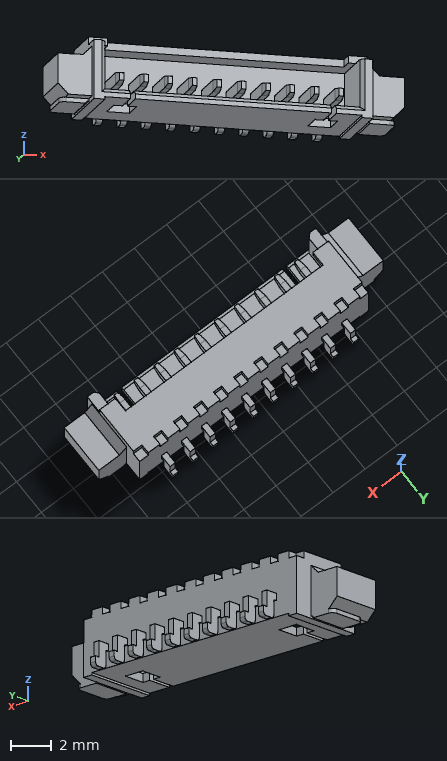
import cadquery as cq

pin_count = 10
pin_pitch = 1.25

overall_length = 17.75
housing_length = 14.27
housing_depth = 4.25
housing_height = 3.4
side_wall = 0.6
back_wall = 1.2
roof_thickness = 0.39
floor_top = 0.59
floor_gap = 0.12
standing_rail_width = 0.55
mouth_bevel = 0.21
roof_setback = 1.83
roof_tab_setback = 1.01
roof_tab_width = 0.98

notch_width = 0.5
notch_depth = 0.51
corner_notch_width = 0.53

slot_offset = 5.15
slot_width = 0.25
window_width = 1.15
window_front = 1.45
window_depth = 1.28

ear_front = 0.39
ear_depth = 2.8
ear_top = 2.3
ear_ramp = 0.46
ear_bevel = 0.53
ear_bottom = 0.23

tab_inset = 0.28
tab_depth = 2.2
tab_corner_radius = 0.3
tab_heel_radius = 0.12

pin_width = 0.34
pin_height = 0.6
pin_bottom = 1.03
pin_tip_y = 0.37
pin_taper_length = 0.53
pin_tip_width = 0.23
pin_tip_height = 0.39
tail_reach = 0.95
tail_top = 1.35
tail_shank_front = 0.2
tail_shank_back = 0.71
tail_bend_underside = 1.0
tail_foot_top = 0.5
tail_foot_radius = 0.2
tail_bend_radius = 0.1

half_length = housing_length / 2
half_cavity = half_length - side_wall
wall_top = housing_height - roof_thickness
cavity_depth = housing_depth - back_wall
pin_positions = [(i - (pin_count - 1) / 2) * pin_pitch for i in range(pin_count)]


def block(x_range, y_range, z_range):
    """Axis-aligned box given by its limits along each axis."""
    (x0, x1), (y0, y1), (z0, z1) = x_range, y_range, z_range
    return cq.Workplane("XY").box(x1 - x0, y1 - y0, z1 - z0, centered=False).translate((x0, y0, z0))


def centered_block(x_center, width, y_range, z_range):
    """Box of a given width centred on x_center."""
    return block((x_center - width / 2, x_center + width / 2), y_range, z_range)


def make_shell():
    """Housing with its cavity, stepped roof, bevelled mouth and raised underside."""
    shell = centered_block(0, housing_length, (0, housing_depth), (0, housing_height))

    shell = shell.cut(centered_block(0, 2 * half_cavity, (0, cavity_depth), (floor_top, wall_top)))

    roof_opening = housing_length - 2 * roof_tab_width
    roof_levels = (wall_top, housing_height)
    shell = shell.cut(centered_block(0, roof_opening, (0, roof_setback), roof_levels))
    shell = shell.cut(centered_block(0, housing_length, (0, roof_tab_setback), roof_levels))

    mouth = (
        cq.Workplane("XZ")
        .rect(2 * (half_cavity + mouth_bevel), 2 * (wall_top - floor_top + mouth_bevel))
        .workplane(offset=-mouth_bevel)
        .rect(2 * half_cavity, 2 * (wall_top - floor_top))
        .loft(ruled=True)
        .translate((0, 0, wall_top))
    )
    below_roof = centered_block(0, housing_length, (0, mouth_bevel), (0, wall_top))
    shell = shell.cut(mouth.intersect(below_roof))

    underside_width = housing_length - 2 * standing_rail_width
    return shell.cut(centered_block(0, underside_width, (0, housing_depth), (0, floor_gap)))


def cut_rear_notches(housing):
    """One notch behind every pin and one at each rear corner."""
    y_range = (housing_depth - notch_depth, housing_depth)
    z_range = (wall_top, housing_height)
    for x in pin_positions:
        housing = housing.cut(centered_block(x, notch_width, y_range, z_range))
    for side in (-1, 1):
        corner_center = side * (half_length - corner_notch_width / 2)
        housing = housing.cut(centered_block(corner_center, corner_notch_width, y_range, z_range))
    return housing


def cut_floor_openings(housing):
    """T-shaped openings: a narrow slot from the mouth into a wide window."""
    window_range = (window_front, window_front + window_depth)
    for side in (-1, 1):
        center = side * slot_offset
        housing = housing.cut(centered_block(center, slot_width, (0, window_front), (0, floor_top)))
        housing = housing.cut(centered_block(center, window_width, window_range, (0, floor_top)))
    return housing


def make_left_ear():
    """Ear with a ramp up to the housing and a bevelled lower outer edge."""
    outer = -overall_length / 2
    inner = -half_length
    outline = [
        (inner, ear_bottom),
        (outer + ear_bevel, ear_bottom),
        (outer, ear_bottom + ear_bevel),
        (outer, ear_top),
        (inner - ear_ramp, ear_top),
        (inner, ear_top + ear_ramp),
    ]
    return cq.Workplane("XZ").polyline(outline).close().extrude(-ear_depth).translate((0, ear_front, 0))


def make_left_solder_tab():
    """Flat tab with rounded outer corners and a rounded heel beside the housing."""
    outer = -overall_length / 2 + tab_inset
    heel = -half_length
    tab_back = ear_front + ear_depth
    profile = (
        cq.Workplane("XZ")
        .moveTo(outer, 0)
        .lineTo(heel - tab_heel_radius, 0)
        .radiusArc((heel, tab_heel_radius), tab_heel_radius)
        .lineTo(heel, ear_bottom)
        .lineTo(outer, ear_bottom)
        .close()
    )
    tab = profile.extrude(-tab_depth).translate((0, tab_back - tab_depth, 0))
    return tab.edges("|Z and <X").fillet(tab_corner_radius)


def make_pin():
    """Contact blade with a tapered tip, bent down behind the housing into a tail."""
    blade_start = pin_tip_y + pin_taper_length
    blade_center = pin_bottom + pin_height / 2
    blade = centered_block(
        0, pin_width, (blade_start, cavity_depth + back_wall / 2), (pin_bottom, pin_bottom + pin_height)
    )
    tip = (
        cq.Workplane("XZ")
        .rect(pin_tip_width, pin_tip_height)
        .workplane(offset=-pin_taper_length)
        .rect(pin_width, pin_height)
        .loft(ruled=True)
        .translate((0, pin_tip_y, blade_center))
    )

    root_y = housing_depth - back_wall / 2
    shank_front = housing_depth + tail_shank_front
    shank_back = housing_depth + tail_shank_back
    foot_end = housing_depth + tail_reach
    tail = (
        cq.Workplane("YZ")
        .moveTo(root_y, tail_top)
        .lineTo(shank_back, tail_top)
        .lineTo(shank_back, tail_foot_top)
        .lineTo(foot_end, tail_foot_top)
        .lineTo(foot_end, tail_foot_radius)
        .radiusArc((foot_end - tail_foot_radius, 0), tail_foot_radius)
        .lineTo(shank_front + tail_foot_radius, 0)
        .radiusArc((shank_front, tail_foot_radius), tail_foot_radius)
        .lineTo(shank_front, tail_bend_underside - tail_bend_radius)
        .radiusArc((shank_front - tail_bend_radius, tail_bend_underside), -tail_bend_radius)
        .lineTo(root_y, tail_bend_underside)
        .close()
        .extrude(pin_width / 2, both=True)
    )
    return blade.union(tip).union(tail)


result = cut_floor_openings(cut_rear_notches(make_shell()))

left_end = make_left_ear().union(make_left_solder_tab())
result = result.union(left_end).union(left_end.mirror("YZ"))

pin = make_pin()
for pin_x in pin_positions:
    result = result.union(pin.translate((pin_x, 0, 0)))